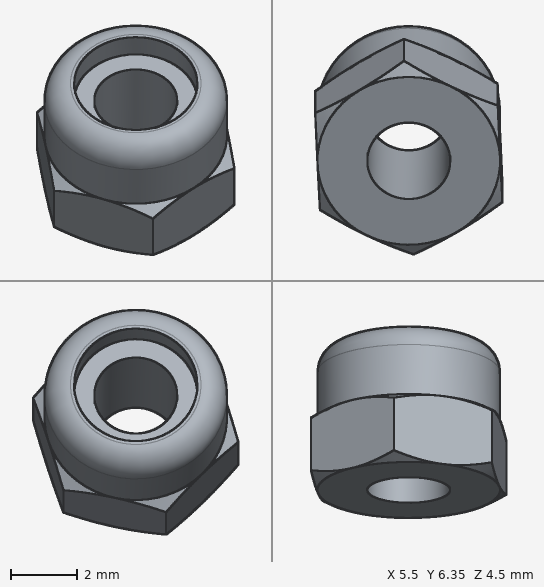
import cadquery as cq
import math

across_flats = 5.5
hex_height = 2.15
total_height = 4.5
chamfer_angle = 30.0

collar_diameter = across_flats
collar_round_radius = 0.785

bore_diameter = 2.5
recess_diameter = 3.71
recess_depth = collar_round_radius

across_corners = across_flats / math.cos(math.radians(30))
flat_radius = across_flats / 2
corner_radius = across_corners / 2
chamfer_drop = (corner_radius - flat_radius) * math.tan(math.radians(chamfer_angle))


def chamfered_hexagon():
    """Hexagon with corners on the Y axis, its corners cut by a cone at both ends."""
    prism = (
        cq.Workplane("XY")
        .polygon(6, across_corners)
        .extrude(hex_height)
        .rotate((0, 0, 0), (0, 0, 1), 90)
    )
    corner_envelope = (
        cq.Workplane("XZ")
        .moveTo(0, 0)
        .lineTo(flat_radius, 0)
        .lineTo(corner_radius, chamfer_drop)
        .lineTo(corner_radius, hex_height - chamfer_drop)
        .lineTo(flat_radius, hex_height)
        .lineTo(0, hex_height)
        .close()
        .revolve(360, (0, 0, 0), (0, 1, 0))
    )
    return prism.intersect(corner_envelope)


def rounded_collar():
    """Round collar on top of the hexagon, with its top outer edge rounded."""
    return (
        cq.Workplane("XY")
        .workplane(offset=hex_height)
        .circle(collar_diameter / 2)
        .extrude(total_height - hex_height)
        .faces(">Z")
        .edges()
        .fillet(collar_round_radius)
    )


def through_bore():
    return cq.Workplane("XY").circle(bore_diameter / 2).extrude(total_height)


def insert_recess():
    return (
        cq.Workplane("XY")
        .workplane(offset=total_height - recess_depth)
        .circle(recess_diameter / 2)
        .extrude(recess_depth)
    )


nut_body = chamfered_hexagon().union(rounded_collar())
result = nut_body.cut(through_bore()).cut(insert_recess())